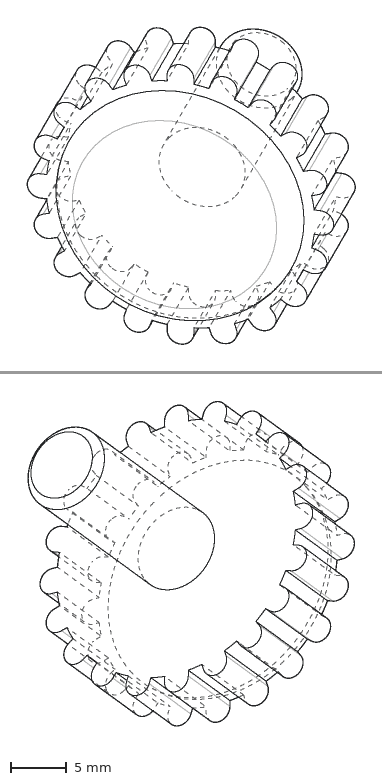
import cadquery as cq

total_length = 29.3
outer_diameter = 28.5

grip_thickness = 7.3
cap_height = 2.0
cap_diameter = 23.0
root_diameter = 25.0
tooth_count = 20
tooth_width = 2.5

shank_diameter = 8.0
tip_chamfer = 0.8
shank_length = total_length - cap_height - grip_thickness


def cylinder_along_y(diameter, start_y, length):
    """Solid cylinder on the Y axis, from start_y towards +Y."""
    plane = cq.Plane(origin=(0, start_y, 0), xDir=(1, 0, 0), normal=(0, 1, 0))
    return cq.Workplane(plane).circle(diameter / 2).extrude(length)


def make_tooth():
    """One straight-sided tooth with a full-round crest, pointing to +X."""
    half_width = tooth_width / 2
    crest_start = outer_diameter / 2 - half_width
    plane = cq.Plane(origin=(0, cap_height, 0), xDir=(1, 0, 0), normal=(0, 1, 0))
    return (
        cq.Workplane(plane)
        .moveTo(0, -half_width)
        .lineTo(crest_start, -half_width)
        .threePointArc((outer_diameter / 2, 0), (crest_start, half_width))
        .lineTo(0, half_width)
        .close()
        .extrude(grip_thickness)
    )


def make_grip():
    """Root disc with evenly spaced teeth around it."""
    grip = cylinder_along_y(root_diameter, cap_height, grip_thickness)
    tooth = make_tooth()
    for index in range(tooth_count):
        angle = index * 360 / tooth_count
        grip = grip.union(tooth.rotate((0, 0, 0), (0, 1, 0), angle))
    return grip


def make_cap():
    """Raised face whose rim is rounded over its full height."""
    rim_radius = cap_height
    flat_radius = cap_diameter / 2 - rim_radius
    rim_middle = rim_radius * 0.5**0.5
    return (
        cq.Workplane("XY")
        .lineTo(flat_radius, 0)
        .threePointArc(
            (flat_radius + rim_middle, cap_height - rim_middle),
            (cap_diameter / 2, cap_height),
        )
        .lineTo(0, cap_height)
        .close()
        .revolve(360, (0, 0, 0), (0, 1, 0))
    )


def make_shank():
    """Plain round shank with a chamfered tip."""
    shank = cylinder_along_y(shank_diameter, cap_height + grip_thickness, shank_length)
    return shank.faces(">Y").chamfer(tip_chamfer)


result = make_grip().union(make_cap()).union(make_shank())